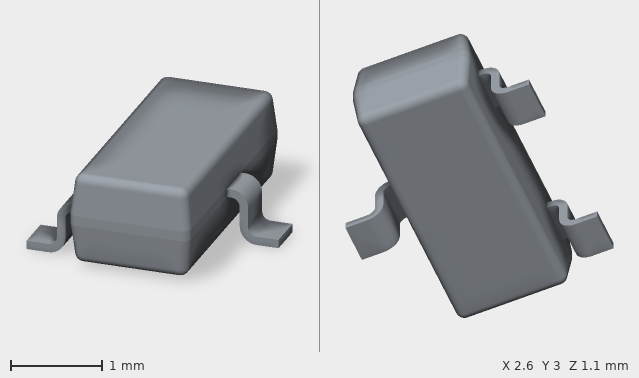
import cadquery as cq
import math

length_y = 3.0
span_x = 2.6
total_height = 1.1

package_width = 1.4
standoff = 0.05
draft_angle = 6.0
band_margin = 0.01
edge_radius = 0.102

lead_thickness = 0.1
lead_width = 0.46
lead_pitch = 1.9
foot_length = 0.255
inner_bend_radius = 0.1
outer_bend_radius = inner_bend_radius + lead_thickness

package_middle = (standoff + total_height) / 2
lead_bottom = package_middle - lead_thickness / 2
lead_top = lead_bottom + lead_thickness
band_thickness = lead_thickness + 2 * band_margin
half_height = (total_height - standoff - band_thickness) / 2


def make_package():
    """Moulded block: a straight band with a drafted half above and below it."""
    band = (
        cq.Workplane("XY", origin=(0, 0, package_middle - band_thickness / 2))
        .rect(package_width, length_y)
        .extrude(band_thickness)
    )
    upper = band.faces(">Z").wires().toPending().extrude(half_height, taper=draft_angle, combine=False)
    lower = upper.mirror("XY", (0, 0, package_middle))
    block = band.union(upper).union(lower)
    upright_edges = block.edges("not(#Z)")
    rim_edges = block.faces("<Z or >Z").edges()
    return upright_edges.add(rim_edges).fillet(edge_radius)


def make_lead(side, y_middle):
    """Gull-wing lead with its foot at z = 0; side is -1 for -X and +1 for +X."""
    tip_x = span_x / 2
    wall_x = package_width / 2
    lower_bend_x = tip_x - foot_length
    leg_outer_x = lower_bend_x - inner_bend_radius
    leg_inner_x = lower_bend_x - outer_bend_radius
    upper_bend_x = leg_outer_x - outer_bend_radius
    lower_bend_z = outer_bend_radius
    upper_bend_z = lead_top - outer_bend_radius
    diagonal = math.sqrt(0.5)

    def bend_middle(center_x, center_z, radius, x_sign, z_sign):
        return (
            side * (center_x + x_sign * radius * diagonal),
            center_z + z_sign * radius * diagonal,
        )

    return (
        cq.Workplane("XZ", origin=(0, y_middle + lead_width / 2, 0))
        .moveTo(side * tip_x, 0)
        .lineTo(side * lower_bend_x, 0)
        .threePointArc(
            bend_middle(lower_bend_x, lower_bend_z, outer_bend_radius, -1, -1),
            (side * leg_inner_x, lower_bend_z),
        )
        .lineTo(side * leg_inner_x, upper_bend_z)
        .threePointArc(
            bend_middle(upper_bend_x, upper_bend_z, inner_bend_radius, 1, 1),
            (side * upper_bend_x, lead_bottom),
        )
        .lineTo(side * wall_x, lead_bottom)
        .lineTo(side * wall_x, lead_top)
        .lineTo(side * upper_bend_x, lead_top)
        .threePointArc(
            bend_middle(upper_bend_x, upper_bend_z, outer_bend_radius, 1, 1),
            (side * leg_outer_x, upper_bend_z),
        )
        .lineTo(side * leg_outer_x, lower_bend_z)
        .threePointArc(
            bend_middle(lower_bend_x, lower_bend_z, inner_bend_radius, -1, -1),
            (side * lower_bend_x, lead_thickness),
        )
        .lineTo(side * tip_x, lead_thickness)
        .close()
        .extrude(lead_width)
    )


package = make_package()

lead_places = [(-1, -lead_pitch / 2), (-1, lead_pitch / 2), (1, 0)]
leads = [make_lead(side, y_middle) for side, y_middle in lead_places]

result = cq.Compound.makeCompound([package.val(), *[lead.val() for lead in leads]])